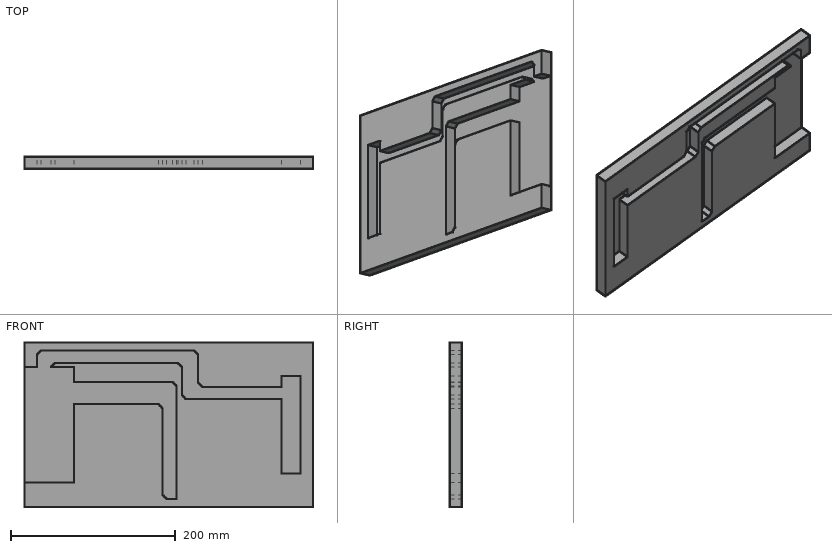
import cadquery as cq
LENGTH = 350.0
DEPTH = 15.0
HEIGHT = 200.0
SKIN = 1.0
BEND = 5.0

LEFT_CHAMBER_LENGTH = 60.0
LEFT_CHAMBER_MARGIN = 30.0
LEFT_CHAMBER_BOTTOM = LEFT_CHAMBER_MARGIN
LEFT_CHAMBER_TOP = HEIGHT - LEFT_CHAMBER_MARGIN

RIGHT_CHAMBER_START = 312.0
RIGHT_CHAMBER_END = LENGTH - 15.0
RIGHT_CHAMBER_MARGIN = 41.0
RIGHT_CHAMBER_BOTTOM = RIGHT_CHAMBER_MARGIN
RIGHT_CHAMBER_TOP = HEIGHT - RIGHT_CHAMBER_MARGIN

EDGE_WALL = 10.0
RUN_WIDTH = 15.0
RISE_LEFT = 15.0
RISE_RIGHT = 32.0
UPPER_RUN_TOP = HEIGHT - EDGE_WALL
UPPER_RUN_BOTTOM = UPPER_RUN_TOP - RUN_WIDTH
DROP_LEFT = 191.0
DROP_RIGHT = 210.75
FEED_BOTTOM = 131.0
FEED_TOP = FEED_BOTTOM + RUN_WIDTH

MIDDLE_RUN_BOTTOM = 125.0
MIDDLE_RUN_TOP = 152.0
WELL_LEFT = 167.5
WELL_RIGHT = 184.5
WELL_BOTTOM = EDGE_WALL


def recess(outline):
    """Prism over an (x, z) outline, from the inner face of the skin to the open back."""
    return (
        cq.Workplane("XZ", origin=(0, SKIN, 0))
        .polyline(outline)
        .close()
        .extrude(-(DEPTH - SKIN))
    )


def chamber(left, right, bottom, top):
    """Rectangular recess."""
    return recess([(left, bottom), (right, bottom), (right, top), (left, top)])


def upper_channel():
    """Recess linking the two chambers."""
    return recess([
        (RISE_RIGHT, LEFT_CHAMBER_TOP),
        (RISE_RIGHT + BEND, UPPER_RUN_BOTTOM),
        (DROP_LEFT - BEND, UPPER_RUN_BOTTOM),
        (DROP_LEFT, UPPER_RUN_BOTTOM - BEND),
        (DROP_LEFT, FEED_BOTTOM + BEND),
        (DROP_LEFT + BEND, FEED_BOTTOM),
        (RIGHT_CHAMBER_START, FEED_BOTTOM),
        (RIGHT_CHAMBER_START, FEED_TOP),
        (DROP_RIGHT + BEND, FEED_TOP),
        (DROP_RIGHT, FEED_TOP + BEND),
        (DROP_RIGHT, UPPER_RUN_TOP - BEND),
        (DROP_RIGHT - BEND, UPPER_RUN_TOP),
        (RISE_LEFT + BEND, UPPER_RUN_TOP),
        (RISE_LEFT, UPPER_RUN_TOP - BEND),
        (RISE_LEFT, LEFT_CHAMBER_TOP),
    ])


def middle_channel():
    """Recess from the left chamber to the closed bottom of the well."""
    return recess([
        (LEFT_CHAMBER_LENGTH, MIDDLE_RUN_BOTTOM),
        (WELL_LEFT - BEND, MIDDLE_RUN_BOTTOM),
        (WELL_LEFT, MIDDLE_RUN_BOTTOM - BEND),
        (WELL_LEFT, WELL_BOTTOM + BEND),
        (WELL_LEFT + BEND, WELL_BOTTOM),
        (WELL_RIGHT, WELL_BOTTOM),
        (WELL_RIGHT, MIDDLE_RUN_TOP - BEND),
        (WELL_RIGHT - BEND, MIDDLE_RUN_TOP),
        (LEFT_CHAMBER_LENGTH, MIDDLE_RUN_TOP),
    ])


plate = cq.Workplane("XY").box(LENGTH, DEPTH, HEIGHT, centered=False)
left_chamber = chamber(0, LEFT_CHAMBER_LENGTH, LEFT_CHAMBER_BOTTOM, LEFT_CHAMBER_TOP)
right_chamber = chamber(
    RIGHT_CHAMBER_START, RIGHT_CHAMBER_END, RIGHT_CHAMBER_BOTTOM, RIGHT_CHAMBER_TOP
)
recesses = left_chamber.union(right_chamber).union(upper_channel()).union(middle_channel())

result = plate.cut(recesses)